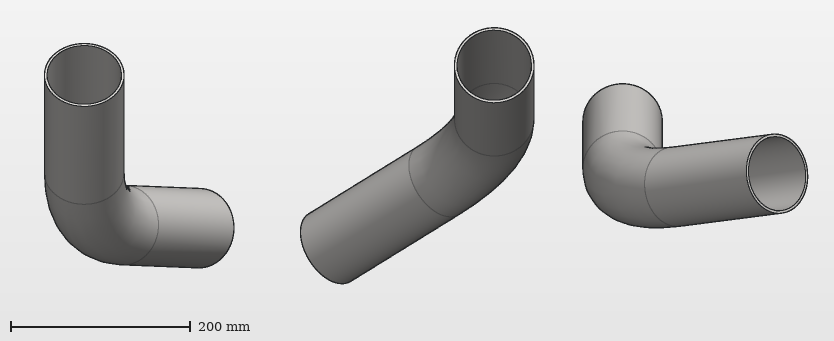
import cadquery as cq
import math

outer_diameter = 88.9
wall_thickness = 3.05
inner_diameter = outer_diameter - 2 * wall_thickness

bend_angle = 45.0
bend_radius = 2.5 * outer_diameter
leg_length = 2 * outer_diameter


def bend_point(angle_degrees):
    """Centreline point (y, z) reached after turning by the given angle."""
    angle = math.radians(angle_degrees)
    return (bend_radius * (1 - math.cos(angle)), -bend_radius * math.sin(angle))


def tube_centreline():
    """Path in the YZ plane from the open top, with the bend starting at the origin."""
    bend_middle = bend_point(bend_angle / 2)
    bend_end = bend_point(bend_angle)
    slope = math.radians(bend_angle)
    lower_end = (
        bend_end[0] + leg_length * math.sin(slope),
        bend_end[1] - leg_length * math.cos(slope),
    )
    return (
        cq.Workplane("YZ")
        .moveTo(0, leg_length)
        .lineTo(0, 0)
        .threePointArc(bend_middle, bend_end)
        .lineTo(*lower_end)
    )


def bent_tube():
    """Ring section swept along the centreline, leaving both ends open."""
    ring = (
        cq.Workplane("XY", origin=(0, 0, leg_length))
        .circle(outer_diameter / 2)
        .circle(inner_diameter / 2)
    )
    return ring.sweep(tube_centreline())


result = bent_tube()